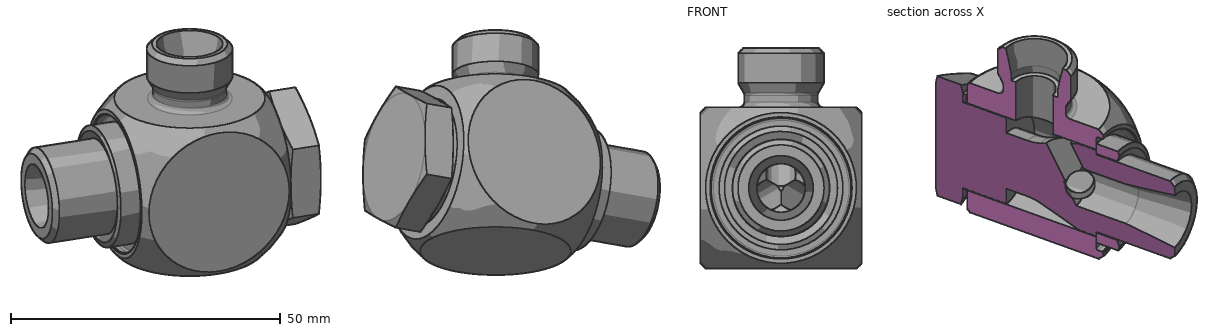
import cadquery as cq
import math


def revolve_about_y(points):
    """Full turn of a closed (radius, y) outline about the Y axis."""
    return cq.Workplane("XY").polyline(points).close().revolve(360, (0, 0, 0), (0, 1, 0))


half_width = 15.0
housing_back = 14.6
housing_front = -half_width
head_end = 21.5
head_height = 6.0
head_base = head_end - head_height
stud_end = -30.5

flat_radius = 14.0
sphere_radius = math.hypot(half_width, flat_radius)
swivel_bore_dia = 20.0
recess_dia = 26.0
recess_depth = 1.5
recess_bevel = 0.2
recess_fillet = 0.4
recess_floor = housing_front + recess_depth

port_top = 26.0
port_dia = 16.0
port_chamfer = 1.0
thread_end = 19.5
neck_dia = 13.7
neck_cone_angle = 30.0
neck_fillet = 1.0
cone_mouth_dia = 12.3
tube_dia = 10.0
tube_socket_depth = 7.0
passage_dia = 8.0
tube_cone_angle = 12.0

across_flats = 24.0
hex_sides = 6
head_bevel_angle = 12.0
shank_dia = 19.96
stud_dia = 18.0
stud_chamfer = 1.0
bolt_bore_dia = 9.0
bolt_mouth_dia = 12.0
bolt_mouth_angle = 8.0
bore_end = -9.15
drill_point_angle = 59.0
groove_dia = 13.0
groove_back = 6.0
groove_bend_start = 1.45
flank_angle = 20.0
groove_bend_radius = 8.2
cross_hole_dia = 5.5
cross_hole_count = 3
cross_hole_start = -10.1
cross_hole_tilt = 30.0
cross_hole_length = 16.0

washer_dia = across_flats
washer_bore_dia = swivel_bore_dia
washer_thickness = 0.8

ring_dia = 23.0
ring_bore_dia = 18.1
ring_length = 5.0
ring_front = recess_floor - ring_length
ring_bevel_width = 1.0
ring_bevel_height = 0.3
ring_seat_angle = 70.0


def build_port_outside():
    """Threaded tube port with its necked root, as a solid of revolution about Z."""
    neck_r = neck_dia / 2
    port_r = port_dia / 2
    cone_height = (port_r - neck_r) / math.tan(math.radians(neck_cone_angle))
    bend = neck_fillet * math.tan(math.radians(neck_cone_angle / 2))
    neck_top = thread_end - cone_height
    slope = math.radians(neck_cone_angle)
    bend_mid = math.radians(neck_cone_angle / 2)
    bend_start = neck_top - bend
    bend_centre_r = neck_r + neck_fillet
    root_mid = neck_fillet * math.sqrt(0.5)
    return (
        cq.Workplane("XZ")
        .moveTo(0, 0)
        .lineTo(bend_centre_r, 0)
        .lineTo(bend_centre_r, half_width)
        .threePointArc(
            (bend_centre_r - root_mid, half_width + neck_fillet - root_mid),
            (neck_r, half_width + neck_fillet),
        )
        .lineTo(neck_r, bend_start)
        .threePointArc(
            (bend_centre_r - neck_fillet * math.cos(bend_mid), bend_start + neck_fillet * math.sin(bend_mid)),
            (bend_centre_r - neck_fillet * math.cos(slope), bend_start + neck_fillet * math.sin(slope)),
        )
        .lineTo(port_r, thread_end)
        .lineTo(port_r, port_top - port_chamfer)
        .lineTo(port_r - port_chamfer, port_top)
        .lineTo(0, port_top)
        .close()
        .revolve(360, (0, 0, 0), (0, 1, 0))
    )


def build_port_bore():
    """Tube cone, tube socket and passage down to the swivel bore."""
    mouth_r = cone_mouth_dia / 2
    tube_r = tube_dia / 2
    passage_r = passage_dia / 2
    cone_depth = (mouth_r - tube_r) / math.tan(math.radians(tube_cone_angle))
    socket_floor = port_top - tube_socket_depth
    outline = [
        (0, 0),
        (passage_r, 0),
        (passage_r, socket_floor),
        (tube_r, socket_floor),
        (tube_r, port_top - cone_depth),
        (mouth_r, port_top),
        (0, port_top),
    ]
    return cq.Workplane("XZ").polyline(outline).close().revolve(360, (0, 0, 0), (0, 1, 0))


def build_housing():
    depth = housing_back - housing_front
    block = cq.Workplane("XY").box(2 * half_width, depth, 2 * half_width)
    block = block.translate((0, (housing_back + housing_front) / 2, 0))
    block = block.intersect(cq.Workplane("XY").sphere(sphere_radius))
    bore_r = swivel_bore_dia / 2
    recess_r = recess_dia / 2
    fillet_mid = recess_fillet * math.sqrt(0.5)
    fillet_centre_r = recess_r - recess_fillet
    fillet_centre_y = recess_floor - recess_fillet
    swivel_bore = (
        cq.Workplane("XY")
        .moveTo(0, housing_back)
        .lineTo(bore_r, housing_back)
        .lineTo(bore_r, recess_floor)
        .lineTo(fillet_centre_r, recess_floor)
        .threePointArc(
            (fillet_centre_r + fillet_mid, fillet_centre_y + fillet_mid),
            (recess_r, fillet_centre_y),
        )
        .lineTo(recess_r, housing_front + recess_bevel)
        .lineTo(recess_r + recess_bevel, housing_front)
        .lineTo(0, housing_front)
        .close()
        .revolve(360, (0, 0, 0), (0, 1, 0))
    )
    return block.union(build_port_outside()).cut(swivel_bore).cut(build_port_bore())


def build_bolt_head():
    """Hexagon with corners on +Z and -Z, bevelled at both ends."""
    corner_dia = across_flats / math.cos(math.pi / hex_sides)
    flat_r = across_flats / 2
    corner_r = corner_dia / 2
    bevel = (corner_r - flat_r) * math.tan(math.radians(head_bevel_angle))
    hexagon = (
        cq.Workplane("XZ", origin=(0, head_end, 0))
        .polygon(hex_sides, corner_dia)
        .extrude(head_height)
        .rotate((0, 0, 0), (0, 1, 0), 180 / hex_sides)
    )
    envelope = revolve_about_y([
        (0, head_base),
        (flat_r, head_base),
        (corner_r, head_base + bevel),
        (corner_r, head_end - bevel),
        (flat_r, head_end),
        (0, head_end),
    ])
    return hexagon.intersect(envelope)


def build_bolt_shaft():
    """Shank with its flow groove, and the threaded stud."""
    shank_r = shank_dia / 2
    groove_r = groove_dia / 2
    stud_r = stud_dia / 2
    slope = math.radians(flank_angle)
    bend_centre_r = groove_r + groove_bend_radius
    bend_end_r = bend_centre_r - groove_bend_radius * math.cos(slope)
    bend_end = groove_bend_start - groove_bend_radius * math.sin(slope)
    flank_end = bend_end - (shank_r - bend_end_r) / math.tan(slope)
    return (
        cq.Workplane("XY")
        .moveTo(0, head_base)
        .lineTo(shank_r, head_base)
        .lineTo(shank_r, groove_back)
        .lineTo(groove_r, groove_back)
        .lineTo(groove_r, groove_bend_start)
        .threePointArc(
            (
                bend_centre_r - groove_bend_radius * math.cos(slope / 2),
                groove_bend_start - groove_bend_radius * math.sin(slope / 2),
            ),
            (bend_end_r, bend_end),
        )
        .lineTo(shank_r, flank_end)
        .lineTo(shank_r, recess_floor)
        .lineTo(stud_r, recess_floor)
        .lineTo(stud_r, stud_end + stud_chamfer)
        .lineTo(stud_r - stud_chamfer, stud_end)
        .lineTo(0, stud_end)
        .close()
        .revolve(360, (0, 0, 0), (0, 1, 0))
    )


def build_bolt_bore():
    """Blind bore with a drill point and a conical mouth."""
    bore_r = bolt_bore_dia / 2
    mouth_r = bolt_mouth_dia / 2
    point_height = bore_r / math.tan(math.radians(drill_point_angle))
    cone_depth = (mouth_r - bore_r) / math.tan(math.radians(bolt_mouth_angle))
    return revolve_about_y([
        (0, bore_end + point_height),
        (bore_r, bore_end),
        (bore_r, stud_end + cone_depth),
        (mouth_r, stud_end),
        (0, stud_end),
    ])


def build_cross_hole(turn):
    """Hole leaning towards the head, turned about the bolt axis from +Z."""
    tilt = math.radians(cross_hole_tilt)
    return cq.Workplane(cq.Solid.makeCylinder(
        cross_hole_dia / 2,
        cross_hole_length,
        cq.Vector(0, cross_hole_start, 0),
        cq.Vector(0, math.sin(tilt), math.cos(tilt)),
    )).rotate((0, 0, 0), (0, 1, 0), turn)


def build_hollow_bolt():
    bolt = build_bolt_head().union(build_bolt_shaft()).cut(build_bolt_bore())
    for index in range(cross_hole_count):
        bolt = bolt.cut(build_cross_hole(index * 360 / cross_hole_count))
    return bolt


def build_thrust_washer():
    """Flat washer on the shank, against the underside of the head."""
    return (
        cq.Workplane("XZ", origin=(0, head_base, 0))
        .circle(washer_dia / 2)
        .circle(washer_bore_dia / 2)
        .extrude(washer_thickness)
    )


def build_sealing_ring():
    """Ring around the stud, seated on the recess floor, with a hollow conical front."""
    outer_r = ring_dia / 2
    bore_r = ring_bore_dia / 2
    edge_r = outer_r - ring_bevel_width
    seat_depth = (edge_r - bore_r) / math.tan(math.radians(ring_seat_angle))
    return revolve_about_y([
        (bore_r, recess_floor),
        (outer_r, recess_floor),
        (outer_r, ring_front + ring_bevel_height),
        (edge_r, ring_front),
        (bore_r, ring_front + seat_depth),
    ])


housing = build_housing()
hollow_bolt = build_hollow_bolt()
thrust_washer = build_thrust_washer()
sealing_ring = build_sealing_ring()

result = cq.Compound.makeCompound([
    housing.val(),
    hollow_bolt.val(),
    thrust_washer.val(),
    sealing_ring.val(),
])